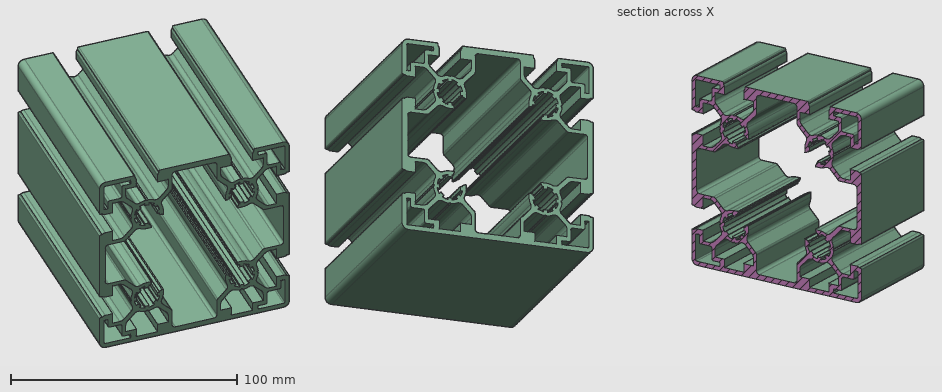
import cadquery as cq
import math

length = 100.0
side = 90.0
half = side / 2
corner_radius = 3.0

slot_centre = 22.5
slot_half_opening = 5.0
slot_half_recess = 10.1
lip_depth = 6.2
web_thickness = 1.8

corner_wall = 2.2
side_wall = 2.7
side_wall_fillet = 1.5

pocket_depth = 4.0
pocket_end = 14.7
pocket_point = 0.2
chamber_outer_fillet = 0.5
chamber_step_fillet = 0.8
chamber_inner_fillet = 1.0

rebate_width = 0.6
rebate_shoulder = 1.2
rebate_depth = 2.7
rebate_nose_radius = 0.6

boss_diameter = 15.5
boss_radius = boss_diameter / 2
bore_radius = 6.0
tooth_tip_radius = 5.0
tooth_width = 2.0
tooth_count = 8
arm_thickness = 2.3
arm_fillet = 2.3
recess_fillet = 3.0
web_fillet = 1.5
marker_width = 1.2
marker_depth = 0.4
hook_root_reach = 4.8
hook_tip_offset = 2.1
hook_tip_reach = 7.1

lip_inner = slot_centre - slot_half_opening
lip_outer = slot_centre + slot_half_opening
recess_inner = slot_centre - slot_half_recess
recess_outer = slot_centre + slot_half_recess
web_inner = recess_inner - web_thickness
web_outer = recess_outer + web_thickness
lip_back = half - lip_depth
arm_offset = arm_thickness / math.sqrt(2)
recess_bend = 2 * slot_centre + arm_offset - recess_inner
web_bend = 2 * slot_centre - arm_offset - web_inner


def sketch_plane():
    return cq.Workplane("YZ", origin=(-length / 2, 0, 0))


def extrude_outline(points):
    return sketch_plane().polyline(points).close().extrude(length)


def swapped(points):
    return [(z, y) for y, z in points]


def across_diagonal(body):
    """Mirror a body about the diagonal plane y = z."""
    return body.mirror("XZ").rotate((0, 0, 0), (1, 0, 0), -90)


def round_edge(body, point, radius):
    """Fillet the lengthwise edge that passes through a (y, z) point."""
    y, z = point
    reach = 0.1
    box = cq.selectors.BoxSelector((-length, y - reach, z - reach), (length, y + reach, z + reach))
    return body.edges("|X").edges(box).fillet(radius)


def corner_section():
    """Outer corner with its two slot lips and the hollow chamber."""
    body = extrude_outline([
        (half, half),
        (lip_outer, half),
        (lip_outer, lip_back),
        (recess_outer, lip_back),
        (recess_outer, recess_outer),
        (lip_back, recess_outer),
        (lip_back, lip_outer),
        (half, lip_outer),
    ])
    body = round_edge(body, (half, half), corner_radius)

    wall = half - corner_wall
    step = half - pocket_depth
    end = half - pocket_end
    point = (end - pocket_point, (wall + step) / 2)
    pocket = [(end, wall), point, (end, step), (web_outer, step)]
    chamber = extrude_outline([(wall, wall)] + pocket + [(web_outer, web_outer)] + swapped(pocket)[::-1])
    chamber = round_edge(chamber, (wall, wall), chamber_outer_fillet)
    chamber = round_edge(chamber, (web_outer, step), chamber_step_fillet)
    chamber = round_edge(chamber, (step, web_outer), chamber_step_fillet)
    chamber = round_edge(chamber, (web_outer, web_outer), chamber_inner_fillet)
    return body.cut(chamber)


def side_outline():
    """Half of a side wall, with its slot lip, web and the arm to the boss."""
    return [
        (0, half),
        (lip_inner, half),
        (lip_inner, lip_back),
        (recess_inner, lip_back),
        (recess_inner, recess_bend),
        (slot_centre + arm_offset / 2, slot_centre + arm_offset / 2),
        (slot_centre - arm_offset / 2, slot_centre - arm_offset / 2),
        (web_inner, web_bend),
        (web_inner, half - side_wall),
        (0, half - side_wall),
    ]


def side_section():
    body = extrude_outline(side_outline())
    body = round_edge(body, (web_inner, half - side_wall), side_wall_fillet)
    body = round_edge(body, (web_inner, web_bend), web_fillet)
    return round_edge(body, (recess_inner, recess_bend), recess_fillet)


def corner_arm():
    """Diagonal arm from the boss to the corner chamber."""
    return extrude_outline([
        (slot_centre + arm_offset / 2, slot_centre - arm_offset / 2),
        (recess_outer + arm_offset, recess_outer),
        (recess_outer, recess_outer + arm_offset),
        (slot_centre - arm_offset / 2, slot_centre + arm_offset / 2),
    ])


def fillet_arm_roots(body):
    """Blend both flanks of the three arms into the round boss."""
    along = math.sqrt(boss_radius**2 - (arm_thickness / 2) ** 2)
    for angle in (-45, 45, 135):
        c = math.cos(math.radians(angle))
        s = math.sin(math.radians(angle))
        for across in (-arm_thickness / 2, arm_thickness / 2):
            root = (slot_centre + along * c - across * s, slot_centre + along * s + across * c)
            body = round_edge(body, root, arm_fillet)
    return body


def splined_bore():
    """Bore that leaves evenly spaced teeth standing on its wall."""
    plane = sketch_plane().center(slot_centre, slot_centre)
    teeth = plane.circle(bore_radius).circle(tooth_tip_radius).extrude(length)
    bars = None
    for index in range(tooth_count // 2):
        angle = index * 360 / tooth_count
        bar = plane.transformed(rotate=(0, 0, angle)).rect(2 * boss_radius, tooth_width).extrude(length)
        bars = bar if bars is None else bars.union(bar)
    return plane.circle(bore_radius).extrude(length).cut(teeth.intersect(bars))


def boss_opening():
    """Gap towards the profile centre that leaves two hooks on the boss."""
    root = (hook_root_reach, tooth_width / 2)
    beyond = 9.0
    hook = [root, (hook_tip_reach, hook_tip_offset), (beyond, hook_tip_offset)]
    outline = hook + [(beyond, beyond)] + swapped(hook)[::-1]
    return extrude_outline([(slot_centre - y, slot_centre - z) for y, z in outline])


def straight_hook_back():
    """Straight tangent run of the boss outline down to one hook tip."""
    back = slot_centre - boss_radius
    tip = slot_centre - hook_tip_offset
    return extrude_outline([(back, slot_centre), (slot_centre, slot_centre), (slot_centre, tip), (back, tip)])


def marker_outline():
    """Shallow V along the middle of the slot floor, drawn up to twice its depth."""
    top = slot_centre + boss_radius
    return [
        (slot_centre, top - marker_depth),
        (slot_centre - marker_width, top + marker_depth),
        (slot_centre + marker_width, top + marker_depth),
    ]


def lip_rebate(lip_edge, inward):
    """Rebate on the edge of one lip; inward is the sign of Y going into the lip."""
    shoulder = lip_edge + inward * rebate_width
    nose = shoulder + inward * rebate_nose_radius
    beyond = lip_edge - inward * rebate_width
    sag = rebate_nose_radius * (1 - math.sqrt(0.5))
    drop = rebate_depth - rebate_shoulder
    mid_width = rebate_width / 4
    return (
        sketch_plane()
        .moveTo(beyond, half)
        .lineTo(nose, half)
        .threePointArc((shoulder + inward * sag, half - sag), (shoulder, half - rebate_nose_radius))
        .lineTo(shoulder, half - rebate_shoulder)
        .threePointArc(
            (lip_edge + inward * mid_width, half - rebate_shoulder - drop / 2),
            (lip_edge, half - rebate_depth),
        )
        .lineTo(beyond, half - rebate_depth)
        .close()
        .extrude(length)
    )


def quadrant():
    """One quarter of the profile, before the slot lips are rebated."""
    body = sketch_plane().center(slot_centre, slot_centre).circle(boss_radius).extrude(length)
    side_part = side_section()
    body = body.union(side_part).union(across_diagonal(side_part))
    body = body.union(corner_arm()).union(corner_section())
    for bend in ((recess_outer, recess_outer + arm_offset), (recess_outer + arm_offset, recess_outer)):
        body = round_edge(body, bend, recess_fillet)
    body = fillet_arm_roots(body)
    tip = straight_hook_back()
    body = body.union(tip).union(across_diagonal(tip))
    body = body.cut(splined_bore()).cut(boss_opening())
    groove = marker_outline()
    return body.cut(extrude_outline(groove)).cut(extrude_outline(swapped(groove)))


upper_half = quadrant()
upper_half = upper_half.union(upper_half.mirror("XZ"))
profile = upper_half.union(upper_half.mirror("XY"))

rebates = lip_rebate(lip_inner, -1).union(lip_rebate(lip_outer, 1))
rebates = rebates.union(rebates.mirror("XZ"))
for turn in (-90, 0, 90):
    profile = profile.cut(rebates.rotate((0, 0, 0), (1, 0, 0), turn))

for centre in (-slot_centre, slot_centre):
    floor = cq.Workplane("XY").box(length, 2 * slot_half_opening, corner_wall)
    profile = profile.union(floor.translate((0, centre, (corner_wall - side) / 2)))

result = profile.clean()